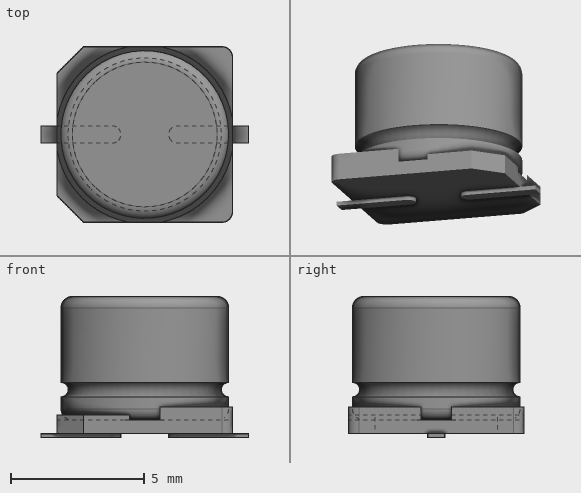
import cadquery as cq
import math

terminal_span = 7.8
terminal_gap = 1.8
terminal_width = 0.65
terminal_thickness = 0.15

base_size = 6.6
base_bottom = terminal_thickness
base_low_top = 0.85
base_high_top = 1.15
corner_chamfer = 1.0
corner_radius = 0.4

can_radius = 6.3 / 2
can_bottom = 0.65
can_top = 5.3
rim_radius = 0.43

seat_clearance = 0.2
seat_radius = can_radius + seat_clearance

groove_center_z = 1.8
groove_radius = 0.27


def make_base():
    """Square base with a round seat; the -X half is lower than the +X half."""
    base = (
        cq.Workplane("XY", origin=(0, 0, base_bottom))
        .rect(base_size, base_size)
        .extrude(base_high_top - base_bottom)
        .edges("|Z and <X")
        .chamfer(corner_chamfer)
        .edges("|Z and >X")
        .fillet(corner_radius)
    )
    step = (
        cq.Workplane("XY", origin=(-base_size / 2, 0, base_low_top))
        .rect(base_size, base_size)
        .extrude(base_high_top - base_low_top)
    )
    seat = (
        cq.Workplane("XY", origin=(0, 0, can_bottom))
        .circle(seat_radius)
        .extrude(base_high_top - can_bottom)
    )
    return base.cut(step).cut(seat)


def make_can():
    """Revolved can with rounded rims and a crimp groove near the bottom."""
    rim_flat_radius = can_radius - rim_radius
    rim_diagonal = rim_radius * math.sqrt(0.5)
    rim_mid_radius = rim_flat_radius + rim_diagonal
    lower_rim_z = can_bottom + rim_radius
    upper_rim_z = can_top - rim_radius
    profile = (
        cq.Workplane("XZ")
        .moveTo(0, can_bottom)
        .lineTo(rim_flat_radius, can_bottom)
        .threePointArc((rim_mid_radius, lower_rim_z - rim_diagonal), (can_radius, lower_rim_z))
        .lineTo(can_radius, groove_center_z - groove_radius)
        .threePointArc(
            (can_radius - groove_radius, groove_center_z),
            (can_radius, groove_center_z + groove_radius),
        )
        .lineTo(can_radius, upper_rim_z)
        .threePointArc((rim_mid_radius, upper_rim_z + rim_diagonal), (rim_flat_radius, can_top))
        .lineTo(0, can_top)
        .close()
    )
    return profile.revolve(360, (0, 0, 0), (0, 1, 0))


def make_terminal(side):
    """Flat terminal under the base with a fully rounded inner end; side is -1 or +1 along X."""
    end_radius = terminal_width / 2
    inner_x = side * terminal_gap / 2
    round_center_x = inner_x + side * end_radius
    outer_x = side * terminal_span / 2
    return (
        cq.Workplane("XY")
        .moveTo(outer_x, -end_radius)
        .lineTo(round_center_x, -end_radius)
        .threePointArc((inner_x, 0), (round_center_x, end_radius))
        .lineTo(outer_x, end_radius)
        .close()
        .extrude(terminal_thickness)
    )


result = make_base().union(make_can())
for terminal_side in (-1, 1):
    result = result.union(make_terminal(terminal_side))